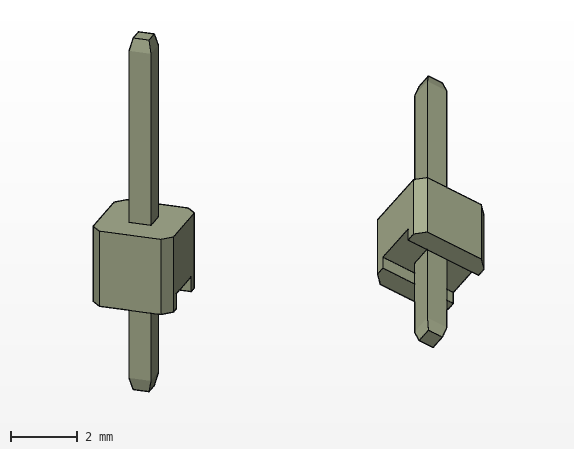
import cadquery as cq

pin_length = 11.5
pin_width = 0.7
tip_length = 0.4
tip_end_width = 0.51

body_width_x = 2.55
body_width_y = 2.54
body_height = 2.46
corner_chamfer = 0.3
pin_above_body = 6.0

channel_width = 1.36
channel_depth = 0.5

pin_top = pin_length / 2
body_top = pin_top - pin_above_body
body_bottom = body_top - body_height


def make_tip(direction):
    """Tapered pin end; direction is +1 for the upper end, -1 for the lower."""
    shoulder = direction * (pin_top - tip_length)
    return (
        cq.Workplane("XY", origin=(0, 0, shoulder))
        .rect(pin_width, pin_width)
        .workplane(offset=direction * tip_length)
        .rect(tip_end_width, tip_end_width)
        .loft(ruled=True)
    )


def make_pin():
    """Square pin with a tapered tip at each end."""
    shank = cq.Workplane("XY").box(pin_width, pin_width, pin_length - 2 * tip_length)
    return shank.union(make_tip(1)).union(make_tip(-1))


def make_body():
    """Block with chamfered upright edges and a channel along X in its underside."""
    block = (
        cq.Workplane("XY", origin=(0, 0, body_bottom))
        .rect(body_width_x, body_width_y)
        .extrude(body_height)
        .edges("|Z")
        .chamfer(corner_chamfer)
    )
    channel = (
        cq.Workplane("XY", origin=(0, 0, body_bottom))
        .rect(body_width_x, channel_width)
        .extrude(channel_depth)
    )
    return block.cut(channel)


result = make_body().union(make_pin())